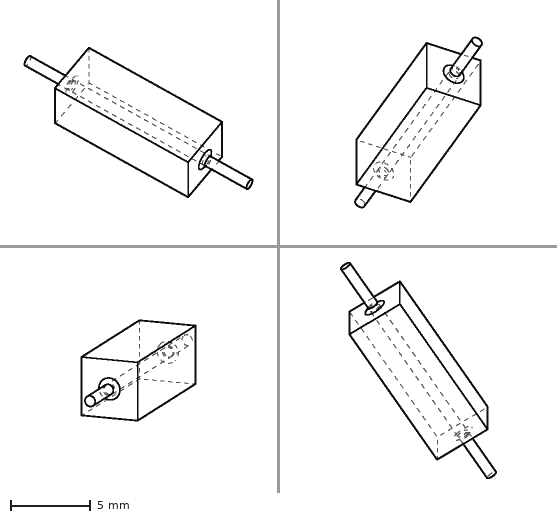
import cadquery as cq

case_length = 10.19
case_width = 3.8

lead_length = 16.98
lead_diameter = 0.7

collar_diameter = 1.43
collar_length = 0.22

case_end = case_length / 2
lead_radius = lead_diameter / 2
collar_radius = collar_diameter / 2


def make_lead():
    """Straight wire centred on the origin, sticking out of both ends of the case."""
    return cq.Workplane("YZ").circle(lead_radius).extrude(lead_length / 2, both=True)


def make_case():
    """Square bar with a bore that fits the lead."""
    bar = cq.Workplane("XY").box(case_length, case_width, case_width)
    return bar.faces(">X").workplane().hole(lead_diameter)


def make_collar(side):
    """Cone ring on the case end at side = -1 or +1, tapering down to the lead surface."""
    profile = (
        cq.Workplane("XZ")
        .moveTo(side * case_end, lead_radius)
        .lineTo(side * case_end, collar_radius)
        .lineTo(side * (case_end + collar_length), lead_radius)
        .close()
    )
    return profile.revolve(360, (0, 0, 0), (1, 0, 0))


case = make_case()
lead = make_lead()
collars = [make_collar(side) for side in (-1, 1)]

result = cq.Compound.makeCompound([case.val(), lead.val(), *[collar.val() for collar in collars]])